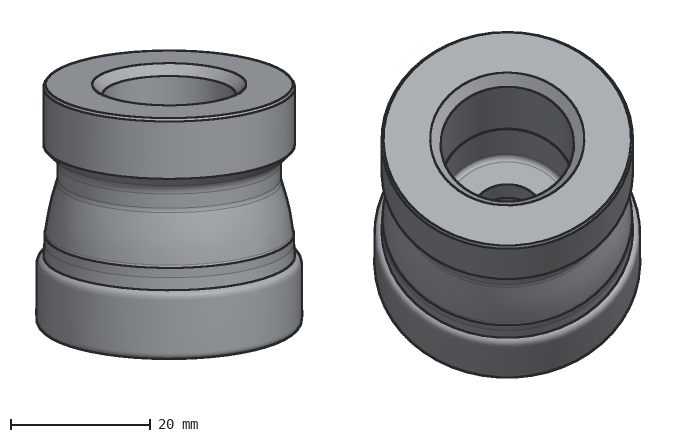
import cadquery as cq
import math

overall_height = 35.55
base_height = 10.05
base_max_radius = 19.05
base_bulge = 0.05
top_rim_width = 0.2
top_rim_height = 0.6
rim_blend_height = 1.45
bottom_rim_width = 0.1
bottom_rim_height = 0.4
bottom_edge_width = 0.45
through_hole_radius = 10.5 / 2

head_radius = 36.0 / 2
seat_radius = 35.7 / 2
neck_radius = 32.0 / 2
taper_top_z = 11.9
seat_top_z = 13.35
dome_bottom_z = 13.72
dome_bottom_radius = 17.73
dome_arc_radius = 38.12
dome_top_slope = math.radians(18.4)
neck_bottom_z = 21.7
neck_top_z = 23.8
neck_fillet = 2.02
neck_cone_angle = math.radians(45)
head_chamfer_width = 0.3
head_chamfer_height = 0.42

bore_radius = 19.05 / 2
bore_mouth_chamfer = 1.5
relief_radius = 19.5 / 2
relief_cone_top_z = 22.3
relief_cone_height = 0.57
floor_thickness = 3.8
floor_z = base_height + floor_thickness
floor_fillet = relief_radius - 17.9 / 2


def revolve_about_z(profile):
    return profile.close().revolve(360, (0, 0), (0, 1))


def make_base():
    side_radius = base_max_radius - base_bulge
    side_curve = [
        (side_radius - bottom_rim_width, bottom_rim_height),
        (side_radius, rim_blend_height),
        (base_max_radius, base_height / 3),
        (base_max_radius, base_height / 2),
        (base_max_radius, base_height * 2 / 3),
        (side_radius, base_height - rim_blend_height),
        (side_radius - top_rim_width, base_height - top_rim_height),
        (head_radius, base_height),
    ]
    profile = (
        cq.Workplane("XZ")
        .moveTo(through_hole_radius, 0)
        .lineTo(side_radius - bottom_edge_width, 0)
        .spline(side_curve, includeCurrent=True)
        .lineTo(through_hole_radius, base_height)
    )
    return revolve_about_z(profile)


def make_bush():
    dome_top_radius = neck_radius + neck_fillet * (1 - math.cos(dome_top_slope))
    dome_top_z = neck_bottom_z - neck_fillet * math.sin(dome_top_slope)
    cone_bottom_radius = neck_radius + neck_fillet * (1 - math.cos(neck_cone_angle))
    cone_bottom_z = neck_top_z + neck_fillet * math.sin(neck_cone_angle)
    head_bottom_z = cone_bottom_z + (head_radius - cone_bottom_radius) / math.tan(neck_cone_angle)
    outside = (
        cq.Workplane("XZ")
        .moveTo(through_hole_radius, base_height)
        .lineTo(head_radius, base_height)
        .lineTo(seat_radius, taper_top_z)
        .lineTo(seat_radius, seat_top_z)
        .lineTo(dome_bottom_radius, dome_bottom_z)
        .radiusArc((dome_top_radius, dome_top_z), -dome_arc_radius)
        .radiusArc((neck_radius, neck_bottom_z), neck_fillet)
        .lineTo(neck_radius, neck_top_z)
        .radiusArc((cone_bottom_radius, cone_bottom_z), neck_fillet)
        .lineTo(head_radius, head_bottom_z)
        .lineTo(head_radius, overall_height - head_chamfer_height)
        .lineTo(head_radius - head_chamfer_width, overall_height)
    )
    profile = (
        outside
        .lineTo(bore_radius + bore_mouth_chamfer, overall_height)
        .lineTo(bore_radius, overall_height - bore_mouth_chamfer)
        .lineTo(bore_radius, relief_cone_top_z)
        .lineTo(relief_radius, relief_cone_top_z - relief_cone_height)
        .lineTo(relief_radius, floor_z + floor_fillet)
        .radiusArc((relief_radius - floor_fillet, floor_z), floor_fillet)
        .lineTo(through_hole_radius, floor_z)
    )
    return revolve_about_z(profile)


base = make_base()
bush = make_bush()
result = cq.Compound.makeCompound([base.val(), bush.val()])